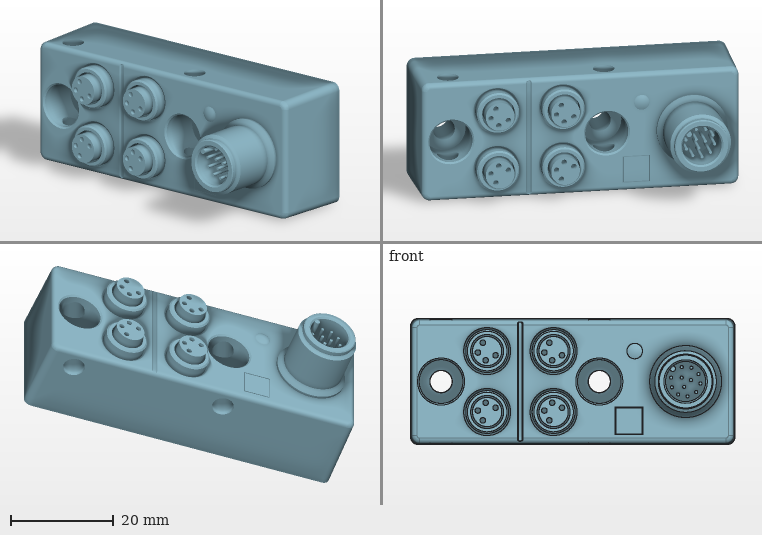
import cadquery as cq
import math


LENGTH = 63.0
HEIGHT = 24.5
BOX_DEPTH = 16.0
DRAFT_ANGLE = 1.0
CORNER_RADIUS = 1.5
FRONT_FILLET = 1.0

MOUNT_XS = (-25.6, 5.15)
FRONT_HOLE_DIAMETER = 4.3
CROSS_HOLE_DIAMETER = 4.2
CROSS_HOLE_LEVEL = 12.3
BORE_DIAMETER = 8.5
BORE_CHAMFER = 0.3
COUNTERBORE_DEPTH = 8.0

SOCKET_XS = (-16.65, -3.7)
SOCKET_Z = 5.9
SOCKET_DIAMETER = 8.3
SOCKET_RECESS_DIAMETER = 9.15
SOCKET_RECESS_DEPTH = 0.3
SOCKET_LEVEL = 18.15
SOCKET_CHAMFER = 0.3
SOCKET_BORE_DIAMETER = 6.4
NOSE_DIAMETER = 5.7
NOSE_LEVEL = 20.05
CONTACT_DIAMETER = 1.1
CONTACT_CIRCLE_RADIUS = 1.8
CONTACT_DEPTH = 3.15
CONTACT_POSITIONS = 5
EMPTY_POSITION_ANGLE = 45.0

PLUG_X = 21.9
FLANGE_DIAMETER = 14.0
FLANGE_EDGE_LEVEL = 16.5
FLANGE_LEVEL = 17.5
PLUG_DIAMETER = 12.0
PLUG_SHOULDER_LEVEL = 25.65
PLUG_TIP_START_LEVEL = 26.2
PLUG_TIP_DIAMETER = 10.65
PLUG_LEVEL = 27.3
PLUG_TIP_CHAMFER = 0.2
PLUG_BORE_DIAMETER = 7.8
PLUG_BORE_CHAMFER = 0.3
PLUG_BORE_DEPTH = 8.2
PIN_DIAMETER = 0.6
PIN_LENGTH = 6.05
OUTER_PIN_COUNT = 9
OUTER_PIN_RADIUS = 2.9
INNER_PIN_COUNT = 3
INNER_PIN_RADIUS = 1.1
KEY_DIAMETER = 1.1
KEY_RADIUS = 3.5
KEY_ANGLE = 135.0
KEY_TO_PIN_ANGLE = 30.0

DIVIDER_X = -10.2
DIVIDER_LENGTH = 23.55
DIVIDER_WIDTH = 1.15
DIVIDER_FLOOR_WIDTH = 0.7
DIVIDER_DEPTH = 0.285
LAMP_X = 12.05
LAMP_DIAMETER = 3.0
LAMP_HEIGHT = 0.4
LABEL_X = 10.9
LABEL_Z = -7.6
LABEL_SIZE = 5.4
LABEL_LINE_WIDTH = 0.2
LABEL_LINE_DEPTH = 0.2


def front_plane(level, x=0.0, z=0.0):
    """Workplane facing -Y, with its origin at (x, z) and the given level."""
    return cq.Workplane("XZ", origin=(x, -level, z))


def disc(diameter, start, end, x=0.0, z=0.0):
    """Round bar along Y between two levels."""
    return front_plane(start, x, z).circle(diameter / 2).extrude(end - start)


def cone(start_diameter, end_diameter, start, end, x=0.0, z=0.0):
    """Cone along Y whose diameter changes from one level to the next."""
    profile = [
        (0, start),
        (start_diameter / 2, start),
        (end_diameter / 2, end),
        (0, end),
    ]
    turned = cq.Workplane("XY").polyline(profile).close().revolve(360, (0, 0, 0), (0, 1, 0))
    return turned.mirror("XZ").translate((x, 0, z))


def polar(radius, angle):
    """Point at a radius and an angle in degrees."""
    return radius * math.cos(math.radians(angle)), radius * math.sin(math.radians(angle))


def chamfered_mouth(diameter, chamfer, level, x, z):
    """Cutter that widens a bore where it opens at the level."""
    return cone(diameter, diameter + 2 * chamfer, level - chamfer, level, x, z)


def make_box():
    """Drafted box with rounded corners and a rounded front rim."""
    box = front_plane(0).rect(LENGTH, HEIGHT).extrude(BOX_DEPTH, taper=DRAFT_ANGLE)
    box = box.edges("not(#Y)").fillet(CORNER_RADIUS)
    return box.faces("<Y").edges().fillet(FRONT_FILLET)


def cut_mount_holes(body):
    """Counterbored front holes and the vertical holes that cross them."""
    for x in MOUNT_XS:
        cross_hole = (
            cq.Workplane("XY", origin=(x, -CROSS_HOLE_LEVEL, 0))
            .circle(CROSS_HOLE_DIAMETER / 2)
            .extrude(HEIGHT, both=True)
        )
        body = body.cut(cross_hole)
        body = body.cut(disc(FRONT_HOLE_DIAMETER, 0, BOX_DEPTH, x))
        body = body.cut(disc(BORE_DIAMETER, BOX_DEPTH - COUNTERBORE_DEPTH, BOX_DEPTH, x))
        body = body.cut(chamfered_mouth(BORE_DIAMETER, BORE_CHAMFER, BOX_DEPTH, x, 0))
    return body


def cut_divider(body):
    """Shallow groove with sloping sides that runs out in the rounded rim."""
    side_inset = (DIVIDER_WIDTH - DIVIDER_FLOOR_WIDTH) / 2
    side_angle = math.degrees(math.atan2(side_inset, DIVIDER_DEPTH))
    groove = (
        front_plane(BOX_DEPTH, DIVIDER_X)
        .slot2D(DIVIDER_LENGTH, DIVIDER_WIDTH, 90)
        .extrude(-DIVIDER_DEPTH, taper=side_angle)
    )
    return body.cut(groove)


def cut_label_frame(body):
    """Fine square groove around the label field."""
    inner_size = LABEL_SIZE - 2 * LABEL_LINE_WIDTH
    frame = (
        front_plane(BOX_DEPTH - LABEL_LINE_DEPTH, LABEL_X, LABEL_Z)
        .rect(LABEL_SIZE, LABEL_SIZE)
        .rect(inner_size, inner_size)
        .extrude(LABEL_LINE_DEPTH)
    )
    return body.cut(frame)


def add_lamp(body):
    """Domed lamp, a cap of a sphere."""
    lamp_radius = LAMP_DIAMETER / 2
    sphere_radius = (lamp_radius**2 + LAMP_HEIGHT**2) / (2 * LAMP_HEIGHT)
    center_level = BOX_DEPTH + LAMP_HEIGHT - sphere_radius
    sphere = cq.Workplane("XY").sphere(sphere_radius).translate((LAMP_X, -center_level, SOCKET_Z))
    cap = sphere.intersect(disc(LAMP_DIAMETER, BOX_DEPTH - LAMP_HEIGHT, PLUG_LEVEL, LAMP_X, SOCKET_Z))
    return body.union(cap)


def add_socket(body, x, side):
    """Socket in the upper (side = 1) or lower (side = -1) row; the rows mirror each other."""
    z = side * SOCKET_Z
    root_level = BOX_DEPTH - SOCKET_RECESS_DEPTH
    body = body.cut(cone(SOCKET_DIAMETER, SOCKET_RECESS_DIAMETER, root_level, BOX_DEPTH, x, z))

    sleeve = disc(SOCKET_DIAMETER, root_level, SOCKET_LEVEL, x, z)
    sleeve = sleeve.faces("<Y").edges().chamfer(SOCKET_CHAMFER)
    sleeve = sleeve.cut(disc(SOCKET_BORE_DIAMETER, BOX_DEPTH, SOCKET_LEVEL, x, z))
    nose = disc(NOSE_DIAMETER, root_level, NOSE_LEVEL, x, z)
    body = body.union(sleeve).union(nose)

    for step in range(1, CONTACT_POSITIONS):
        angle = EMPTY_POSITION_ANGLE + step * 360 / CONTACT_POSITIONS
        dx, dz = polar(CONTACT_CIRCLE_RADIUS, angle)
        contact = disc(CONTACT_DIAMETER, NOSE_LEVEL - CONTACT_DEPTH, NOSE_LEVEL, x + dx, z + side * dz)
        body = body.cut(contact)
    return body


def pin_points():
    """Pin places relative to the plug axis: an outer arc that spares the key, and an inner ring."""
    pitch = (360 - 2 * KEY_TO_PIN_ANGLE) / (OUTER_PIN_COUNT - 1)
    first_angle = KEY_ANGLE - KEY_TO_PIN_ANGLE
    outer = [polar(OUTER_PIN_RADIUS, first_angle - i * pitch) for i in range(OUTER_PIN_COUNT)]
    inner = [polar(INNER_PIN_RADIUS, KEY_ANGLE + i * 360 / INNER_PIN_COUNT) for i in range(INNER_PIN_COUNT)]
    return outer + inner


def add_plug(body):
    """Flanged plug with a stepped tip, a keyed bore and twelve pins."""
    floor_level = PLUG_LEVEL - PLUG_BORE_DEPTH
    tip = disc(PLUG_TIP_DIAMETER, PLUG_TIP_START_LEVEL, PLUG_LEVEL, PLUG_X)
    tip = tip.faces("<Y").edges().chamfer(PLUG_TIP_CHAMFER)
    shell = (
        disc(FLANGE_DIAMETER, BOX_DEPTH, FLANGE_EDGE_LEVEL, PLUG_X)
        .union(cone(FLANGE_DIAMETER, PLUG_DIAMETER, FLANGE_EDGE_LEVEL, FLANGE_LEVEL, PLUG_X))
        .union(disc(PLUG_DIAMETER, FLANGE_LEVEL, PLUG_SHOULDER_LEVEL, PLUG_X))
        .union(cone(PLUG_DIAMETER, PLUG_TIP_DIAMETER, PLUG_SHOULDER_LEVEL, PLUG_TIP_START_LEVEL, PLUG_X))
        .union(tip)
        .cut(disc(PLUG_BORE_DIAMETER, floor_level, PLUG_LEVEL, PLUG_X))
        .cut(chamfered_mouth(PLUG_BORE_DIAMETER, PLUG_BORE_CHAMFER, PLUG_LEVEL, PLUG_X, 0))
    )
    pins = (
        front_plane(floor_level, PLUG_X)
        .pushPoints(pin_points())
        .circle(PIN_DIAMETER / 2)
        .extrude(PIN_LENGTH)
    )
    key_dx, key_dz = polar(KEY_RADIUS, KEY_ANGLE)
    key = disc(KEY_DIAMETER, floor_level, PLUG_LEVEL - PLUG_BORE_CHAMFER, PLUG_X + key_dx, key_dz)
    return body.union(shell).union(pins).union(key)


result = make_box()
result = cut_divider(result)
result = cut_mount_holes(result)
result = cut_label_frame(result)
result = add_lamp(result)
for socket_x in SOCKET_XS:
    for row_side in (1, -1):
        result = add_socket(result, socket_x, row_side)
result = add_plug(result)